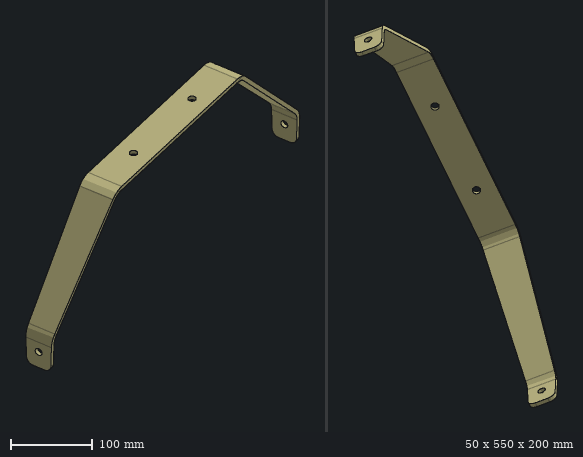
import cadquery as cq
import math

length = 550.0
height = 200.0
thickness = 6.0
outer_bend_radius = 26.0
top_corner_y = 139.5
leg_corner_z = 50.0

full_width = 50.0
foot_width = 35.0
foot_corner_radius = 10.0

hole_diameter = 10.0
top_hole_spacing = 130.0
leg_hole_z = 25.0

half_length = length / 2
inner_bend_radius = outer_bend_radius - thickness
slope_run = half_length - top_corner_y
slope_rise = height - leg_corner_z
slope_angle = math.atan2(slope_rise, slope_run)
top_setback = thickness * math.tan(slope_angle / 2)
leg_setback = thickness * math.tan((math.pi / 2 - slope_angle) / 2)
taper_start_y = top_corner_y - outer_bend_radius * math.tan(slope_angle / 2)


def bent_outline(leg_y, corner_y, top_z, corner_z, bend_radius):
    """Solid under one face of the strap, with its four bends rounded."""
    points = [
        (-leg_y, 0),
        (-leg_y, corner_z),
        (-corner_y, top_z),
        (corner_y, top_z),
        (leg_y, corner_z),
        (leg_y, 0),
    ]
    solid = cq.Workplane("YZ").polyline(points).close().extrude(full_width / 2, both=True)
    return solid.edges("|X and (not <Z)").fillet(bend_radius)


def bent_strap():
    outer = bent_outline(half_length, top_corner_y, height, leg_corner_z, outer_bend_radius)
    inner = bent_outline(
        half_length - thickness,
        top_corner_y - top_setback,
        height - thickness,
        leg_corner_z - leg_setback,
        inner_bend_radius,
    )
    return outer.cut(inner)


def taper_cutter():
    """Block beyond the flat side plane that narrows the +X edge of the +Y arm.

    It starts on the underside where the flat top ends, and gives the slope and leg equal taper per length.
    """
    tapered_length = (top_corner_y - taper_start_y) + math.hypot(slope_run, slope_rise) + leg_corner_z
    taper = (full_width - foot_width) / 2 / tapered_length
    taper_across_y = taper * (1 - math.sin(slope_angle)) / math.cos(slope_angle)
    side_plane = cq.Plane(
        origin=(full_width / 2, taper_start_y, height - thickness),
        xDir=(-taper_across_y, 1, 0),
        normal=(1, taper_across_y, -taper),
    )
    return cq.Workplane(side_plane).rect(2 * length, 2 * length).extrude(full_width)


def taper_arms(strap):
    cutter = taper_cutter()
    for y_side in (cutter, cutter.mirror("XZ")):
        strap = strap.cut(y_side).cut(y_side.mirror("YZ"))
    return strap


def round_feet(strap):
    return strap.faces("<Z").edges("not |X").fillet(foot_corner_radius)


def drill_holes(strap):
    top_holes = (
        cq.Workplane("XY", origin=(0, 0, height - 2 * thickness))
        .rarray(5.5, top_hole_spacing, 1, 2)
        .circle(hole_diameter / 2)
        .extrude(3 * thickness)
    )
    leg_holes = (
        cq.Workplane("XZ")
        .center(0, leg_hole_z)
        .circle(hole_diameter / 2)
        .extrude(length, both=True)
    )
    return strap.cut(top_holes).cut(leg_holes)


result = drill_holes(round_feet(taper_arms(bent_strap())))